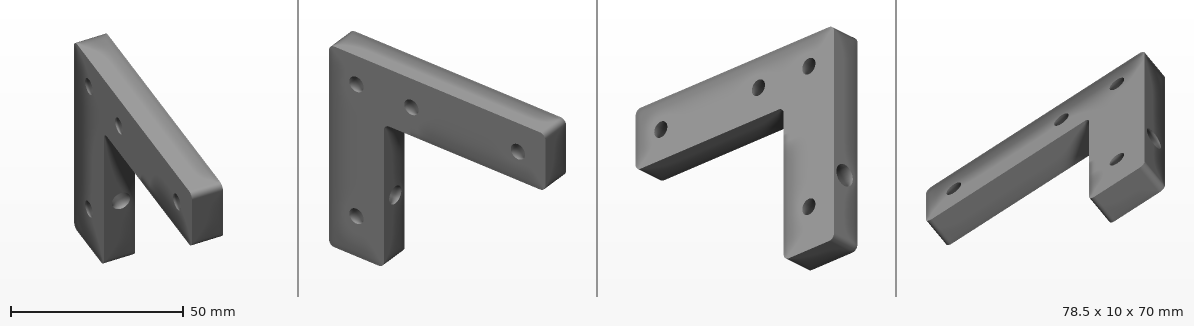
import cadquery as cq

length = 78.5
thickness = 10.0
height = 70.0
arm_width = 19.9
corner_radius = 2.0

mount_diameter = 5.2
edge_distance = arm_width / 2
middle_hole_x = edge_distance + arm_width
lower_hole_z = 14.05

taper_outer_diameter = 7.0
taper_inner_diameter = 5.9
taper_z = 22.5
taper_offset_y = 0.5


def bracket_body():
    """L-shaped plate centred on Y = 0, with every upright-plane corner rounded."""
    return (
        cq.Workplane("XZ")
        .moveTo(0, 0)
        .lineTo(arm_width, 0)
        .lineTo(arm_width, height - arm_width)
        .lineTo(length, height - arm_width)
        .lineTo(length, height)
        .lineTo(0, height)
        .close()
        .extrude(thickness / 2, both=True)
        .edges("|Y")
        .fillet(corner_radius)
    )


def mounting_holes():
    """Cylinders for the plain holes running along Y."""
    top_row_z = height - edge_distance
    centers = [
        (edge_distance, top_row_z),
        (middle_hole_x, top_row_z),
        (length - edge_distance, top_row_z),
        (edge_distance, lower_hole_z),
    ]
    return (
        cq.Workplane("XZ")
        .pushPoints(centers)
        .circle(mount_diameter / 2)
        .extrude(thickness, both=True)
    )


def tapered_hole():
    """Cone running along X, widest at the outer side of the upright arm."""
    return cq.Workplane(
        cq.Solid.makeCone(
            taper_outer_diameter / 2,
            taper_inner_diameter / 2,
            arm_width,
            pnt=cq.Vector(0, taper_offset_y, taper_z),
            dir=cq.Vector(1, 0, 0),
        )
    )


result = bracket_body().cut(mounting_holes()).cut(tapered_hole())